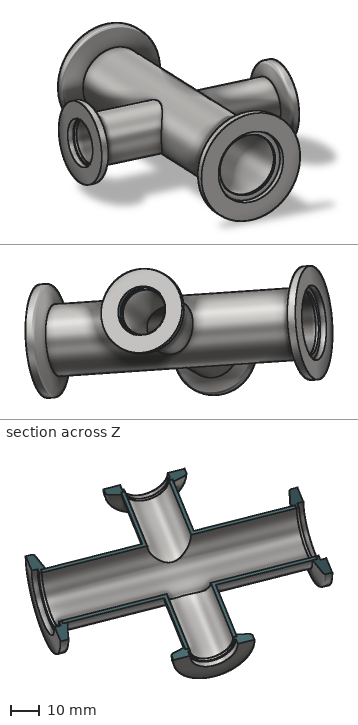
import cadquery as cq
import math

run_length = 100.0
branch_span = 80.0

run_outer_diameter = 25.4
run_bore_diameter = 22.2
branch_outer_diameter = 19.1
branch_bore_diameter = 16.0

recess_depth = 2.2
tube_setback = 3.2
land_clearance = 0.2

run_flange_diameter = 40.0
run_flange_thickness = 5.0
run_rim_radius = 1.0
run_recess_diameter = 26.2
run_land_diameter = run_bore_diameter + land_clearance

branch_flange_diameter = 30.0
branch_flange_thickness = 4.4
branch_rim_radius = 1.5
branch_land_diameter = branch_bore_diameter + land_clearance
branch_recess_diameter = 17.4

back_angle = math.radians(15)


def cylinder_along(axis, diameter, length):
    """Cylinder centred on the origin, along "X" or "Y"."""
    plane = {"X": "YZ", "Y": "XZ"}[axis]
    return cq.Workplane(plane).circle(diameter / 2).extrude(length / 2, both=True)


def make_cross_tube():
    """Run tube and crossing branch tubes as one hollow body, open at all four ends."""
    run_tube_length = run_length - 2 * tube_setback
    branch_tube_span = branch_span - 2 * tube_setback
    outside = cylinder_along("X", run_outer_diameter, run_tube_length).union(
        cylinder_along("Y", branch_outer_diameter, branch_tube_span)
    )
    run_bore = cylinder_along("X", run_bore_diameter, run_length)
    branch_bore = cylinder_along("Y", branch_bore_diameter, branch_span)
    return outside.cut(run_bore).cut(branch_bore)


def make_flange(diameter, thickness, rim_radius, tube_diameter, recess_diameter, land_diameter):
    """Flange with its face at Z = 0 and its sloped back toward +Z.

    The tube enters a socket from the back and stops at a narrow land, which
    separates it from the centring recess in the face.
    """
    rim = diameter / 2
    socket = tube_diameter / 2
    recess = recess_diameter / 2
    land = land_diameter / 2
    rim_corner = thickness - (rim - socket) * math.tan(back_angle)
    turn = math.pi / 2 - back_angle
    round_start = rim_corner - rim_radius * math.tan(turn / 2)
    round_center = rim - rim_radius

    def round_point(angle):
        return (
            round_center + rim_radius * math.cos(angle),
            round_start + rim_radius * math.sin(angle),
        )

    profile = (
        cq.Workplane("XZ")
        .moveTo(recess, 0)
        .lineTo(rim, 0)
        .lineTo(rim, round_start)
        .threePointArc(round_point(turn / 2), round_point(turn))
        .lineTo(socket, thickness)
        .lineTo(socket, tube_setback)
        .lineTo(land, tube_setback)
        .lineTo(land, recess_depth)
        .lineTo(recess, recess_depth)
        .close()
    )
    return profile.revolve(360, (0, 0, 0), (0, 1, 0))


def place_pair(flange, span, first_heading):
    """Two copies of a flange, faces outward at both ends of a span.

    The heading is the angle about Z from +X to the direction the face looks.
    """
    outward = flange.rotate((0, 0, 0), (0, 1, 0), -90).translate((span / 2, 0, 0))
    return [
        outward.rotate((0, 0, 0), (0, 0, 1), heading)
        for heading in (first_heading, first_heading + 180)
    ]


cross_tube = make_cross_tube()
run_flange = make_flange(
    run_flange_diameter,
    run_flange_thickness,
    run_rim_radius,
    run_outer_diameter,
    run_recess_diameter,
    run_land_diameter,
)
branch_flange = make_flange(
    branch_flange_diameter,
    branch_flange_thickness,
    branch_rim_radius,
    branch_outer_diameter,
    branch_recess_diameter,
    branch_land_diameter,
)
run_flanges = place_pair(run_flange, run_length, 0)
branch_flanges = place_pair(branch_flange, branch_span, 90)

result = cq.Compound.makeCompound(
    [
        cross_tube.val(),
        *[flange.val() for flange in run_flanges],
        *[flange.val() for flange in branch_flanges],
    ]
)